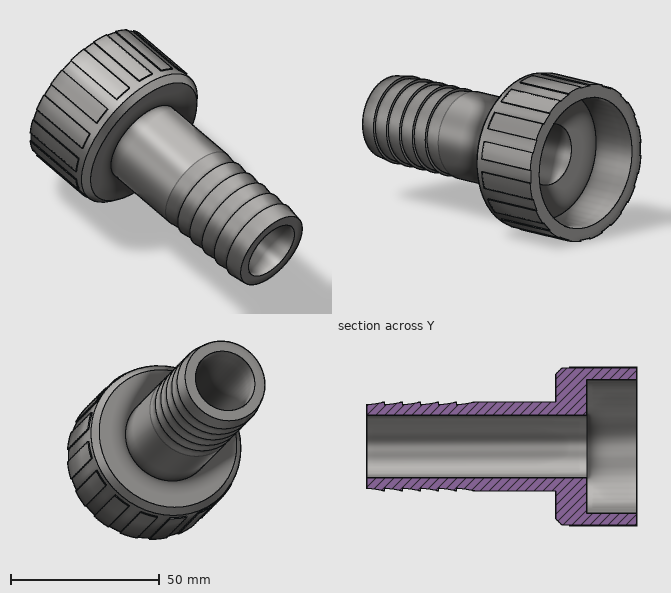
import cadquery as cq

total_length = 91.0
nut_length = 27.4
barb_start = 54.6
barb_count = 6
barb_pitch = (total_length - barb_start) / barb_count

nut_radius = 53.0 / 2
tail_radius = 30.0 / 2
barb_small_radius = 14.1
socket_radius = 44.9 / 2
bore_radius = 21.0 / 2

socket_depth = 16.8
nut_chamfer = 2.2

pad_count = 16
pad_outer_radius = 53.8 / 2
pad_length = 22.75
pad_angle = 13.0
pad_pitch_angle = 360 / pad_count


def make_body():
    """Revolve the nut, plain tail and barbs as one solid about the X axis."""
    profile = (
        cq.Workplane("XY")
        .moveTo(0, 0)
        .lineTo(0, nut_radius)
        .lineTo(nut_length - nut_chamfer, nut_radius)
        .lineTo(nut_length, nut_radius - nut_chamfer)
        .lineTo(nut_length, tail_radius)
    )
    for index in range(barb_count):
        barb_x = barb_start + index * barb_pitch
        profile = profile.lineTo(barb_x, tail_radius)
        profile = profile.lineTo(barb_x + barb_pitch, barb_small_radius)
    profile = profile.lineTo(total_length, 0).close()
    return profile.revolve(360, (0, 0, 0), (1, 0, 0))


def make_pad(center_angle):
    """Make one grip pad as a ring sector that starts inside the nut wall."""
    root_radius = (socket_radius + nut_radius) / 2
    return (
        cq.Workplane("XY")
        .moveTo(0, root_radius)
        .lineTo(0, pad_outer_radius)
        .lineTo(pad_length, pad_outer_radius)
        .lineTo(pad_length, root_radius)
        .close()
        .revolve(pad_angle, (0, 0, 0), (1, 0, 0))
        .rotate((0, 0, 0), (1, 0, 0), center_angle - pad_angle / 2)
    )


def make_x_cylinder(radius, length):
    """Make a cylinder along X from the open end of the nut."""
    return cq.Workplane("YZ").circle(radius).extrude(length)


result = make_body()
for pad_index in range(pad_count):
    result = result.union(make_pad((pad_index + 0.5) * pad_pitch_angle))
result = result.cut(make_x_cylinder(socket_radius, socket_depth))
result = result.cut(make_x_cylinder(bore_radius, total_length))